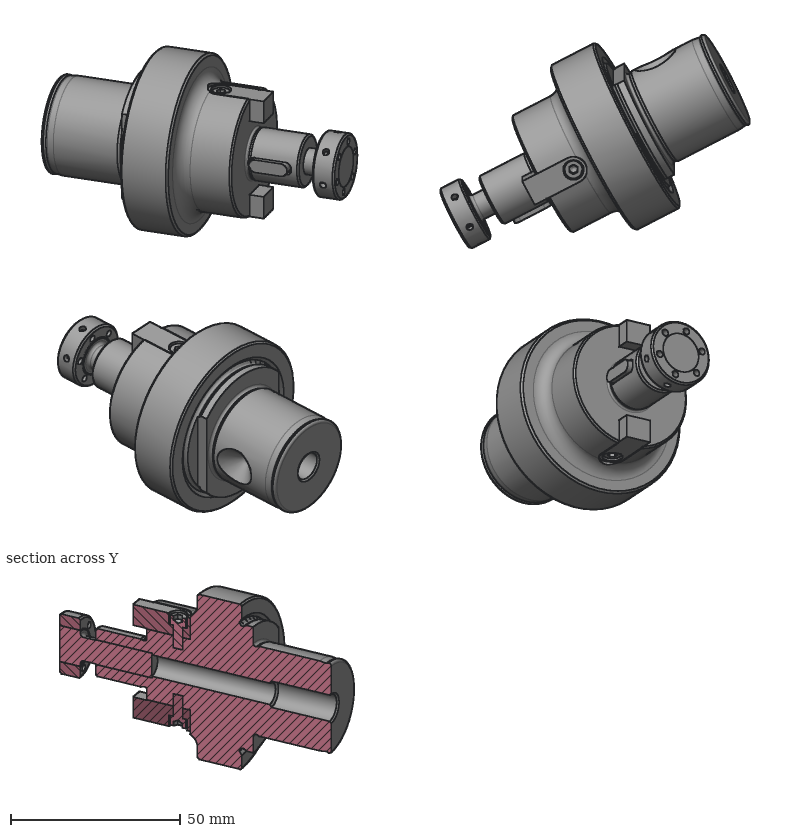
import cadquery as cq
import math


collar_x = 26.1
flange_x = 29.9
neck_x = 44.95
neck_end_x = 62.0
pilot_end_x = 79.0
disc_x = 84.0
overall_length = 91.0

shank_radius = 15.0
shank_end_round = 0.8
shank_groove_depth = 0.3
shank_groove_x = 1.55
shank_groove_floor_end_x = 1.9
shank_groove_end_x = 3.9
undercut_start_x = 24.2
undercut_radius = 14.65
undercut_x = 25.0
undercut_floor_end_x = 25.3
collar_root_radius = 15.6
clamp_seat_x = 16.1
clamp_seat_radius = 6.7

collar_radius = 20.9
collar_rim_end_x = 28.4
collar_neck_radius = 20.4
collar_neck_x = 29.3
collar_half_width = 16.0
collar_flat_end_x = 29.8

relief_fillet = 1.0
relief_outer_radius = 22.6

flange_radius = 27.5
flange_back_chamfer = 0.55
flange_front_chamfer = 0.6
neck_radius = 19.5
neck_fillet = 4.0
neck_chamfer = 0.55

pilot_radius = 8.0
pilot_chamfer = 0.55
pilot_undercut_depth = 0.3
pilot_undercut_fillet = 0.55
pilot_undercut_floor_end_x = 63.1
pilot_start_x = 63.8

thread_radius = 4.3
thread_mouth_radius = 4.8
thread_depth = 20.0
thread_tip_depth = 0.55
coolant_radius = 3.5

key_angles = (0, 180)
key_width = 8.0
key_screw_x = 51.4
key_end_x = 66.4
key_top = 18.8
key_bottom = 11.8
screw_head_radius = 2.6
counterbore_radius = 3.0
counterbore_depth = 3.6
screw_head_height = 3.1
screw_radius = 1.5
screw_tip_z = 7.7
hex_width = 2.5
hex_depth = 1.5

feather_width = 4.0
feather_length = 12.1
feather_slot_length = 13.8
feather_centre_x = 69.8
feather_floor = 5.6
feather_top = 9.3

stud_radius = 4.0
stud_tip_x = 60.1
stud_fillet = 1.0
screw_shoulder_radius = 6.1

disc_radius = 10.0
disc_chamfer = 0.55
disc_seat_chamfer = 0.4
disc_hole_count = 6
disc_hole_start_angle = 15.5
disc_hole_radius = 1.0
radial_hole_x = 87.4
radial_hole_depth = 3.0
axial_hole_circle = 7.55

SIN45 = math.sin(math.pi / 4)


def turned(profile):
    """Revolve a closed half profile, drawn as (x, radius), about the X axis."""
    return profile.close().revolve(360, (0, 0, 0), (1, 0, 0))


def x_cylinder(x_start, x_end, radius):
    return cq.Workplane("YZ").workplane(offset=x_start).circle(radius).extrude(x_end - x_start)


def holder_blank():
    """Turned outer shape of the holder."""
    groove_radius = shank_radius - shank_groove_depth
    root_rise = collar_root_radius - undercut_radius
    root_run = collar_x - undercut_floor_end_x
    relief_x = collar_flat_end_x + relief_fillet
    pilot_floor = pilot_radius - pilot_undercut_depth
    profile = (
        cq.Workplane("XY")
        .moveTo(0, 0)
        .lineTo(0, shank_radius - shank_end_round)
        .radiusArc((shank_end_round, shank_radius), shank_end_round)
        .lineTo(shank_groove_x, groove_radius)
        .lineTo(shank_groove_floor_end_x, groove_radius)
        .lineTo(shank_groove_end_x, shank_radius)
        .lineTo(undercut_start_x, shank_radius)
        .lineTo(undercut_x, undercut_radius)
        .lineTo(undercut_floor_end_x, undercut_radius)
        .threePointArc(
            (undercut_floor_end_x + root_run * SIN45, undercut_radius + root_rise * (1 - SIN45)),
            (collar_x, collar_root_radius),
        )
        .lineTo(collar_x, collar_radius)
        .lineTo(collar_rim_end_x, collar_radius)
        .lineTo(collar_neck_x, collar_neck_radius)
        .lineTo(collar_flat_end_x, collar_neck_radius)
        .radiusArc((relief_x, collar_neck_radius + relief_fillet), -relief_fillet)
        .lineTo(flange_x, relief_outer_radius)
        .lineTo(flange_x, flange_radius - flange_back_chamfer)
        .lineTo(flange_x + flange_back_chamfer, flange_radius)
        .lineTo(neck_x - flange_front_chamfer, flange_radius)
        .lineTo(neck_x, flange_radius - flange_front_chamfer)
        .lineTo(neck_x, neck_radius + neck_fillet)
        .radiusArc((neck_x + neck_fillet, neck_radius), -neck_fillet)
        .lineTo(neck_end_x - neck_chamfer, neck_radius)
        .lineTo(neck_end_x, neck_radius - neck_chamfer)
        .lineTo(neck_end_x, pilot_floor + pilot_undercut_fillet)
        .radiusArc((neck_end_x + pilot_undercut_fillet, pilot_floor), -pilot_undercut_fillet)
        .lineTo(pilot_undercut_floor_end_x, pilot_floor)
        .lineTo(pilot_start_x, pilot_radius)
        .lineTo(pilot_end_x - pilot_chamfer, pilot_radius)
        .lineTo(pilot_end_x, pilot_radius - pilot_chamfer)
        .lineTo(pilot_end_x, 0)
    )
    return turned(profile)


def wrench_flat_cutter(side):
    """Block that cuts the collar flat on the +Y (side = 1) or -Y (side = -1) side."""
    depth = collar_radius - collar_half_width
    return (
        cq.Workplane("XY")
        .box(collar_flat_end_x - collar_x, depth, 2 * collar_radius, centered=(False, True, True))
        .translate((collar_x, side * (collar_half_width + depth / 2), 0))
    )


def clamp_seat_cutter():
    """Right-angled conical clamping seat on the +Y side of the shank."""
    cone = cq.Solid.makeCone(
        0, 2 * clamp_seat_radius, 2 * clamp_seat_radius,
        cq.Vector(clamp_seat_x, shank_radius - clamp_seat_radius, 0), cq.Vector(0, 1, 0),
    )
    return cq.Workplane(cone)


def bore_cutter():
    """Threaded mouth, coolant passage and retaining screw hole on the axis."""
    profile = (
        cq.Workplane("XY")
        .moveTo(0, 0)
        .lineTo(0, thread_mouth_radius)
        .lineTo(thread_mouth_radius - thread_radius, thread_radius)
        .lineTo(thread_depth, thread_radius)
        .lineTo(thread_depth + thread_tip_depth, coolant_radius)
        .lineTo(stud_tip_x, coolant_radius)
        .lineTo(stud_tip_x, stud_radius)
        .lineTo(pilot_end_x, stud_radius)
        .lineTo(pilot_end_x, 0)
    )
    return turned(profile)


def drive_key_block(top):
    """Drive key outline, rounded at the flange end, from the key bottom up to the given height."""
    height = top - key_bottom
    plane = cq.Workplane("XY").workplane(offset=key_bottom)
    bar = (
        plane.center((key_screw_x + key_end_x) / 2, 0)
        .rect(key_end_x - key_screw_x, key_width)
        .extrude(height)
    )
    round_end = plane.center(key_screw_x, 0).circle(key_width / 2).extrude(height)
    return bar.union(round_end)


def z_cylinder(bottom, top, radius):
    """Cylinder on the axis of the upper key screw."""
    plane = cq.Workplane("XY").workplane(offset=bottom)
    return plane.center(key_screw_x, 0).circle(radius).extrude(top - bottom)


def feather_block(length, top):
    """Feather key outline on the -Y side, from the slot floor out to the given radius."""
    return (
        cq.Workplane("XZ")
        .workplane(offset=feather_floor)
        .center(feather_centre_x, 0)
        .slot2D(length, feather_width)
        .extrude(top - feather_floor)
    )


def at_angle(shape, angle):
    return shape.rotate((0, 0, 0), (1, 0, 0), angle)


def make_holder():
    body = holder_blank().cut(bore_cutter()).cut(clamp_seat_cutter())
    for side in (1, -1):
        body = body.cut(wrench_flat_cutter(side))
    key_slot = drive_key_block(flange_radius)
    screw_hole = z_cylinder(screw_tip_z, key_bottom, screw_radius)
    for angle in key_angles:
        body = body.cut(at_angle(key_slot, angle)).cut(at_angle(screw_hole, angle))
    return body.cut(feather_block(feather_slot_length, feather_top))


def make_drive_key(angle):
    """Drive key with a counterbored hole for its screw."""
    seat_z = key_top - counterbore_depth
    key = drive_key_block(key_top)
    key = key.cut(z_cylinder(seat_z, key_top, counterbore_radius))
    key = key.cut(z_cylinder(key_bottom, seat_z, screw_radius))
    return at_angle(key, angle)


def make_key_screw(angle):
    """Socket head screw; the hexagon socket ends in a drilled cone."""
    seat_z = key_top - counterbore_depth
    head_top = seat_z + screw_head_height
    head = z_cylinder(seat_z, head_top, screw_head_radius)
    socket = (
        cq.Workplane("XY")
        .workplane(offset=head_top - hex_depth)
        .center(key_screw_x, 0)
        .polygon(6, hex_width / math.cos(math.pi / 6))
        .extrude(hex_depth)
    )
    cone_radius = hex_width / 2
    cone = cq.Solid.makeCone(
        cone_radius, 0, cone_radius * math.tan(math.pi / 6),
        cq.Vector(key_screw_x, 0, head_top - hex_depth), cq.Vector(0, 0, -1),
    )
    screw = head.union(z_cylinder(screw_tip_z, seat_z, screw_radius))
    return at_angle(screw.cut(socket).cut(cq.Workplane(cone)), angle)


def make_retaining_screw():
    """Stud with a cylindrical shoulder that fills the hole of the disc."""
    profile = (
        cq.Workplane("XY")
        .moveTo(stud_tip_x, 0)
        .lineTo(stud_tip_x, stud_radius)
        .lineTo(disc_x - stud_fillet, stud_radius)
        .radiusArc((disc_x, stud_radius + stud_fillet), -stud_fillet)
        .lineTo(disc_x, screw_shoulder_radius - disc_seat_chamfer)
        .lineTo(disc_x + disc_seat_chamfer, screw_shoulder_radius)
        .lineTo(overall_length, screw_shoulder_radius)
        .lineTo(overall_length, 0)
    )
    return turned(profile)


def make_retaining_disc():
    """Disc around the screw shoulder, with a ring of axial and radial holes."""
    profile = (
        cq.Workplane("XY")
        .moveTo(disc_x, screw_shoulder_radius)
        .lineTo(disc_x, disc_radius - disc_chamfer)
        .lineTo(disc_x + disc_chamfer, disc_radius)
        .lineTo(overall_length - disc_chamfer, disc_radius)
        .lineTo(overall_length, disc_radius - disc_chamfer)
        .lineTo(overall_length, screw_shoulder_radius)
    )
    disc = turned(profile)
    axial_hole = x_cylinder(disc_x, overall_length, disc_hole_radius).translate((0, axial_hole_circle, 0))
    radial_hole = (
        cq.Workplane("XZ")
        .workplane(offset=-disc_radius)
        .center(radial_hole_x, 0)
        .circle(disc_hole_radius)
        .extrude(radial_hole_depth)
    )
    for index in range(disc_hole_count):
        angle = disc_hole_start_angle + index * 360 / disc_hole_count
        disc = disc.cut(at_angle(axial_hole, angle)).cut(at_angle(radial_hole, angle))
    return disc


holder = make_holder()
drive_keys = [make_drive_key(angle) for angle in key_angles]
key_screws = [make_key_screw(angle) for angle in key_angles]
feather_key = feather_block(feather_length, feather_top)
retaining_screw = make_retaining_screw()
retaining_disc = make_retaining_disc()

result = cq.Compound.makeCompound([
    holder.val(),
    *[key.val() for key in drive_keys],
    *[screw.val() for screw in key_screws],
    feather_key.val(),
    retaining_screw.val(),
    retaining_disc.val(),
])